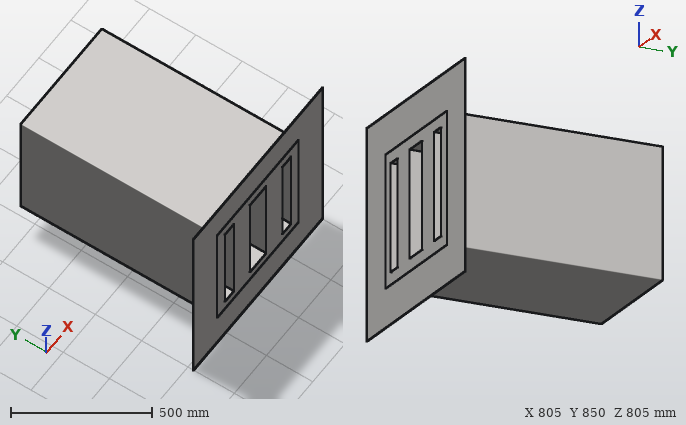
import cadquery as cq

depth = 850.0
flange_size = 805.0
flange_margin = 150.0
flange_thickness = 1.5
corner_radius = 3.0
bar_width = 100.0
center_slot_width = 100.0
side_slot_width = 55.0

body_size = flange_size - 2 * flange_margin
side_slot_offset = center_slot_width / 2 + bar_width + side_slot_width / 2
slot_height = 2 * side_slot_offset + side_slot_width


def prism(width, height, length):
    """Rectangular prism centered on the Y axis, running from the front face."""
    return cq.Workplane("XY").box(width, length, height, centered=(True, False, True))


def make_body():
    """Long square block with slightly rounded lengthwise edges."""
    return prism(body_size, body_size, depth).edges("|Y").fillet(corner_radius)


def make_flange(body):
    """Thin square plate that surrounds the front end of the body."""
    return prism(flange_size, flange_size, flange_thickness).cut(body)


def cut_air_slots(body):
    """Open one wide and two narrow passages along the full depth."""
    slots = [
        (-side_slot_offset, side_slot_width),
        (0, center_slot_width),
        (side_slot_offset, side_slot_width),
    ]
    for offset, width in slots:
        body = body.cut(prism(width, slot_height, depth).translate((offset, 0, 0)))
    return body


body = make_body()
flange = make_flange(body)
result = cut_air_slots(body).union(flange, clean=False)